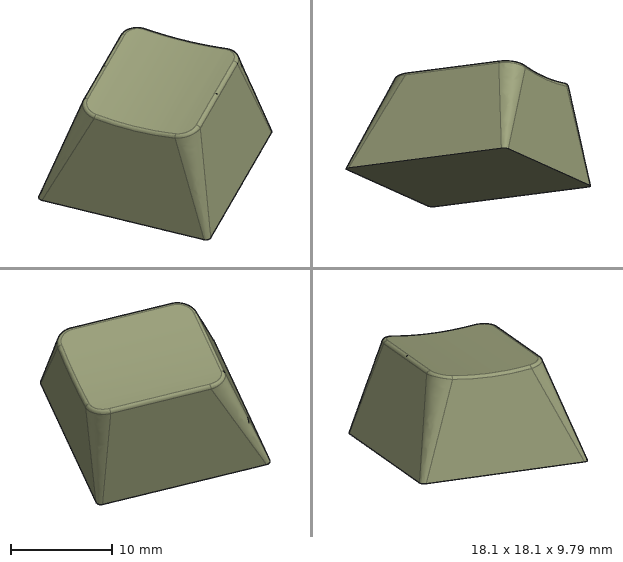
import cadquery as cq

base_side = 18.1
base_corner = 0.5

top_width = 12.0
top_depth = 14.23
top_corner = 2.06
top_shift = 1.55
loft_height = 10.01

dish_radius = 34.03
dish_bottom = 9.3
rim_fillet = 0.4


def rounded_outline(width, depth, corner):
    return cq.Sketch().rect(width, depth).vertices().fillet(corner)


def tapered_body():
    """Solid block lofted between the base and the upper outline."""
    base = rounded_outline(base_side, base_side, base_corner)
    top = rounded_outline(top_width, top_depth, top_corner)
    top_place = cq.Location(cq.Vector(0, top_shift, loft_height))
    return cq.Workplane("XY").placeSketch(base, top.moved(top_place)).loft(ruled=True)


def dish_cutter():
    """Cylinder along Y, long enough to pass through the whole body."""
    return (
        cq.Workplane("XZ")
        .center(0, dish_bottom + dish_radius)
        .circle(dish_radius)
        .extrude(base_side, both=True)
    )


dished = tapered_body().cut(dish_cutter())
result = dished.faces("%CYLINDER").edges().fillet(rim_fillet)